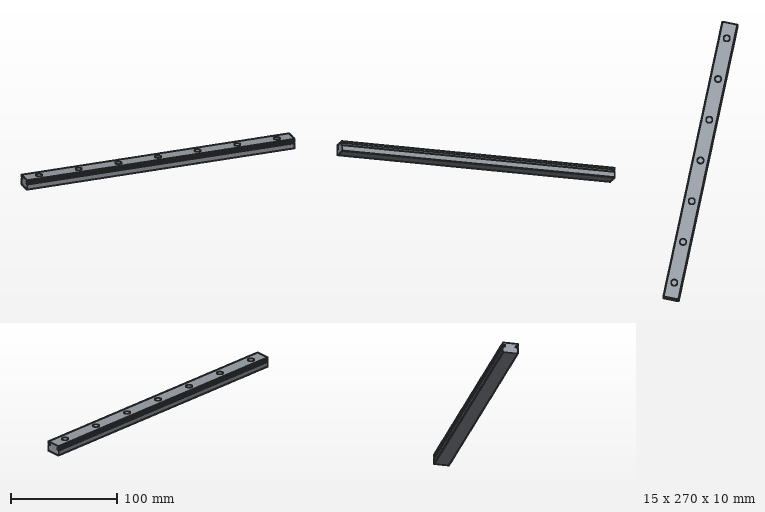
import cadquery as cq

WIDTH = 15.0
LENGTH = 270.0
HEIGHT = 10.0
EDGE_CHAMFER = 0.55

GROOVE_TOP = 7.8
GROOVE_BOTTOM = 6.1
GROOVE_DEPTH = 2.5
BEVEL_INSET = 0.8
BEVEL_BOTTOM = 5.5

HOLE_COUNT = 7
HOLE_PITCH = 40.0
HOLE_DIAMETER = 6.0
RECESS_DEPTH = 0.1


def rail_body():
    """Extrude the grooved cross-section along the full length."""
    half_width = WIDTH / 2
    groove_radius = (GROOVE_TOP - GROOVE_BOTTOM) / 2
    groove_middle = (GROOVE_TOP + GROOVE_BOTTOM) / 2
    groove_floor_x = half_width - GROOVE_DEPTH
    arc_start_x = groove_floor_x + groove_radius

    half_profile = (
        cq.Workplane("XZ")
        .lineTo(half_width - EDGE_CHAMFER, 0)
        .lineTo(half_width, EDGE_CHAMFER)
        .lineTo(half_width, BEVEL_BOTTOM)
        .lineTo(half_width - BEVEL_INSET, GROOVE_BOTTOM)
        .lineTo(arc_start_x, GROOVE_BOTTOM)
        .threePointArc((groove_floor_x, groove_middle), (arc_start_x, GROOVE_TOP))
        .lineTo(half_width, GROOVE_TOP)
        .lineTo(half_width, HEIGHT - EDGE_CHAMFER)
        .lineTo(half_width - EDGE_CHAMFER, HEIGHT)
        .lineTo(0, HEIGHT)
    )
    return half_profile.mirrorY().extrude(LENGTH / 2, both=True)


def hole_recesses():
    """Discs to remove from the top face, centred on the rail length."""
    return (
        cq.Workplane("XY")
        .workplane(offset=HEIGHT - RECESS_DEPTH)
        .rarray(1, HOLE_PITCH, 1, HOLE_COUNT)
        .circle(HOLE_DIAMETER / 2)
        .extrude(RECESS_DEPTH)
    )


result = rail_body().cut(hole_recesses())